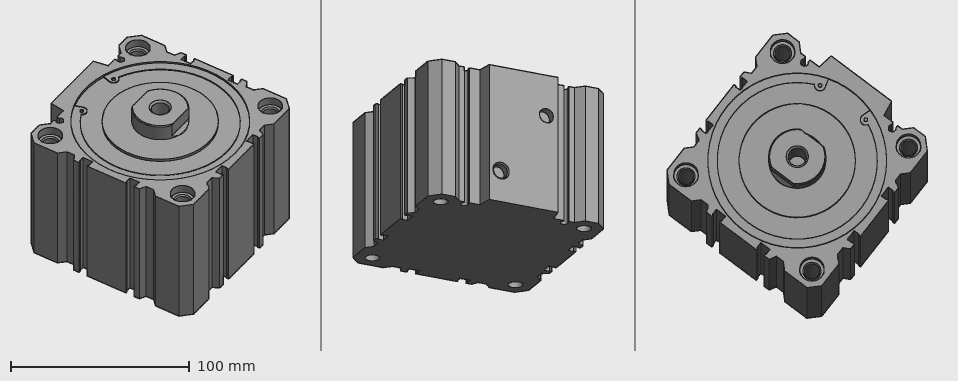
import cadquery as cq
import math

body_half = 54.5
body_height = 82.1
corner_chamfer = 5.9

pad_face_x = -59.0
step_x = -49.9
pad_half_tip = 21.3
pad_half_root = 22.8
flank_start_y = 40.3
keyhole_y = 30.9
keyhole_mouth = 3.1
keyhole_diameter = 4.2
keyhole_center_x = -46.9

groove_depth = 3.9
groove_outer = 32.9
groove_floor_inner = 24.1
groove_inner = 22.0
slot_center = 15.7
slot_mouth = 5.5
slot_width = 6.4
slot_lip = 1.4
slot_depth = 4.8

mount_offset = 44.4
mount_diameter = 8.5
mount_chamfer_diameter = 10.1
counterbore_diameter = 13.7
counterbore_depth = 5.1

bore_diameter = 100.0
ring_inner_diameter = 89.5
ring_drop = 1.0
cover_drop = 1.6
boss_diameter = 65.0
lug_center = (-42.0, 16.1)
lug_radius = 3.1
lug_hole_diameter = 2.0

port_diameter = 8.5
port_depth = 5.1
port_offset = 14.1
upper_port = (-port_offset, 57.4)
lower_port = (port_offset, 18.8)
lower_port_chamfer_diameter = 10.1

rod_diameter = 32.0
rod_top = 92.0
rod_insertion = 34.0
rod_bottom = body_height - rod_insertion
rod_chamfer = 0.6
flat_half_width = 13.5
flat_bottom = 83.9
tap_diameter = 10.1
tap_mouth_diameter = 12.4
tap_depth = 22.7


def extruded_outline(points, height):
    return cq.Workplane("XY").polyline(points).close().extrude(height)


def body_blank():
    """Square extrusion with the port pad standing out of its stepped -X side."""
    corner = body_half - corner_chamfer
    flank_end_y = flank_start_y - (body_half + step_x)
    upper = [
        (pad_face_x, pad_half_tip),
        (step_x, pad_half_root),
        (step_x, flank_end_y),
        (-body_half, flank_start_y),
        (-body_half, corner),
        (-corner, body_half),
        (corner, body_half),
        (body_half, corner),
    ]
    lower = [(x, -y) for x, y in reversed(upper)]
    return extruded_outline(upper + lower, body_height)


def side_grooves():
    """Flared groove and T-slot pair, mirrored, cut into the +Y side."""
    floor = body_half - groove_depth
    flare = extruded_outline(
        [
            (groove_outer, body_half),
            (groove_outer - groove_depth, floor),
            (groove_floor_inner, floor),
            (groove_inner, body_half),
        ],
        body_height,
    )
    mouth_half = slot_mouth / 2
    slot_half = slot_width / 2
    lip_y = body_half - slot_lip
    slot_floor = body_half - slot_depth
    slot = extruded_outline(
        [
            (slot_center - mouth_half, body_half),
            (slot_center - mouth_half, lip_y),
            (slot_center - slot_half, lip_y),
            (slot_center - slot_half, slot_floor),
            (slot_center + slot_half, slot_floor),
            (slot_center + slot_half, lip_y),
            (slot_center + mouth_half, lip_y),
            (slot_center + mouth_half, body_half),
        ],
        body_height,
    )
    pair = flare.union(slot)
    return pair.union(pair.mirror("YZ"))


def keyhole_slot(y):
    """Narrow slot with a round end, beside the port pad."""
    mouth_length = keyhole_center_x - step_x
    mouth = (
        cq.Workplane("XY")
        .center(step_x + mouth_length / 2, y)
        .rect(mouth_length, keyhole_mouth)
        .extrude(body_height)
    )
    end = (
        cq.Workplane("XY")
        .center(keyhole_center_x, y)
        .circle(keyhole_diameter / 2)
        .extrude(body_height)
    )
    return mouth.union(end)


def countersink(workplane, mouth_diameter, hole_diameter):
    """45 degree cone that breaks the mouth of a hole, narrowing along the workplane's normal."""
    depth = (mouth_diameter - hole_diameter) / 2
    return workplane.circle(mouth_diameter / 2).extrude(depth, taper=45)


def mount_hole(x, y):
    """Counterbored through hole with a chamfer at the counterbore floor."""
    seat = body_height - counterbore_depth
    hole = cq.Workplane("XY").center(x, y).circle(mount_diameter / 2).extrude(body_height)
    counterbore = (
        cq.Workplane("XY", origin=(x, y, seat))
        .circle(counterbore_diameter / 2)
        .extrude(counterbore_depth)
    )
    seat_plane = cq.Workplane(cq.Plane((x, y, seat), (1, 0, 0), (0, 0, -1)))
    chamfer = countersink(seat_plane, mount_chamfer_diameter, mount_diameter)
    return hole.union(counterbore).union(chamfer)


def retaining_ring():
    """C-shaped ring with a lug and a plier hole at each end, open toward -X."""
    thickness = cover_drop - ring_drop
    bore_radius = bore_diameter / 2
    ring_inner = ring_inner_diameter / 2
    base = cq.Workplane("XY", origin=(0, 0, body_height - cover_drop))
    lug_x, lug_y = lug_center
    lug_distance = math.hypot(lug_x, lug_y)
    gap_half_angle = math.atan2(lug_y, -lug_x) - math.asin(lug_radius / lug_distance)
    gap_half_width = bore_diameter * math.tan(gap_half_angle)
    gap = (
        base.polyline(
            [
                (0, 0),
                (-bore_diameter, gap_half_width),
                (-bore_diameter, -gap_half_width),
            ]
        )
        .close()
        .extrude(thickness)
    )
    band = base.circle(bore_radius).circle(ring_inner).extrude(thickness).cut(gap)
    lug_points = [(lug_x, lug_y), (lug_x, -lug_y)]
    lugs = base.pushPoints(lug_points).circle(lug_radius).extrude(thickness)
    holes = base.pushPoints(lug_points).circle(lug_hole_diameter / 2).extrude(thickness)
    return band.union(lugs).cut(holes)


def cover_recess():
    """Space above the rod cover, around its central boss."""
    recess = (
        cq.Workplane("XY", origin=(0, 0, body_height - cover_drop))
        .circle(bore_diameter / 2)
        .circle(boss_diameter / 2)
        .extrude(cover_drop)
    )
    return recess.cut(retaining_ring())


def port(place):
    """Blind port drilled into the pad face."""
    y, z = place
    return (
        cq.Workplane("YZ", origin=(pad_face_x, y, z))
        .circle(port_diameter / 2)
        .extrude(port_depth)
    )


def rod_with_flats():
    """Solid rod, chamfered at its top, with two wrench flats that run out at 45 degrees."""
    rod = (
        cq.Workplane("XY", origin=(0, 0, rod_bottom))
        .circle(rod_diameter / 2)
        .extrude(rod_top - rod_bottom)
        .faces(">Z")
        .chamfer(rod_chamfer)
    )
    runout = rod_diameter / 2 - flat_half_width
    side_cut = (
        cq.Workplane("XZ")
        .polyline(
            [
                (flat_half_width, rod_top),
                (flat_half_width, flat_bottom),
                (flat_half_width + runout, flat_bottom - runout),
                (flat_half_width + runout, rod_top),
            ]
        )
        .close()
        .extrude(rod_diameter / 2, both=True)
    )
    return rod.cut(side_cut).cut(side_cut.mirror("YZ"))


def make_rod():
    """Piston rod with a tapped hole in its end."""
    hole = cq.Workplane("XY", origin=(0, 0, rod_top)).circle(tap_diameter / 2).extrude(-tap_depth)
    mouth_plane = cq.Workplane(cq.Plane((0, 0, rod_top), (1, 0, 0), (0, 0, -1)))
    mouth = countersink(mouth_plane, tap_mouth_diameter, tap_diameter)
    return rod_with_flats().cut(hole).cut(mouth)


def make_housing():
    housing = body_blank()
    for angle in (0, -90, 180):
        housing = housing.cut(side_grooves().rotate((0, 0, 0), (0, 0, 1), angle))
    for side in (1, -1):
        housing = housing.cut(keyhole_slot(side * keyhole_y))
    for x in (-mount_offset, mount_offset):
        for y in (-mount_offset, mount_offset):
            housing = housing.cut(mount_hole(x, y))
    housing = housing.cut(cover_recess())
    for place in (upper_port, lower_port):
        housing = housing.cut(port(place))
    lower_port_plane = cq.Workplane("YZ", origin=(pad_face_x, *lower_port))
    housing = housing.cut(countersink(lower_port_plane, lower_port_chamfer_diameter, port_diameter))
    rod_socket = (
        cq.Workplane("XY", origin=(0, 0, rod_bottom))
        .circle(rod_diameter / 2)
        .extrude(body_height - rod_bottom)
    )
    return housing.cut(rod_socket)


housing = make_housing()
rod = make_rod()
result = cq.Compound.makeCompound([housing.val(), rod.val()])